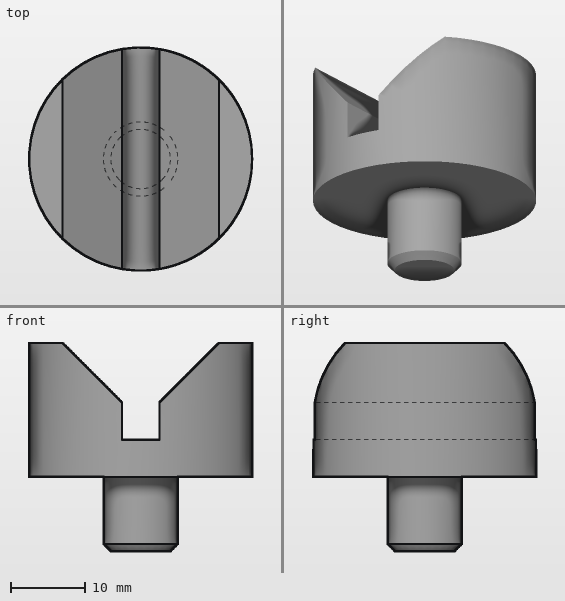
import cadquery as cq

body_diameter = 30.0
body_height = 18.0
stud_diameter = body_diameter / 3
stud_length = stud_diameter
stud_chamfer = stud_length / 10
slot_width = body_diameter / 6
slot_floor = slot_width
vee_start = 2 * slot_width

slot_half = slot_width / 2
vee_half = slot_half + (body_height - vee_start)

body = cq.Workplane("XY").circle(body_diameter / 2).extrude(body_height)

stud = (
    cq.Workplane("XY")
    .circle(stud_diameter / 2)
    .extrude(-stud_length)
    .faces("<Z")
    .chamfer(stud_chamfer)
)

groove = (
    cq.Workplane("XZ")
    .moveTo(-slot_half, slot_floor)
    .lineTo(slot_half, slot_floor)
    .lineTo(slot_half, vee_start)
    .lineTo(vee_half, body_height)
    .lineTo(-vee_half, body_height)
    .lineTo(-slot_half, vee_start)
    .close()
    .extrude(body_diameter / 2, both=True)
)

result = body.union(stud).cut(groove)